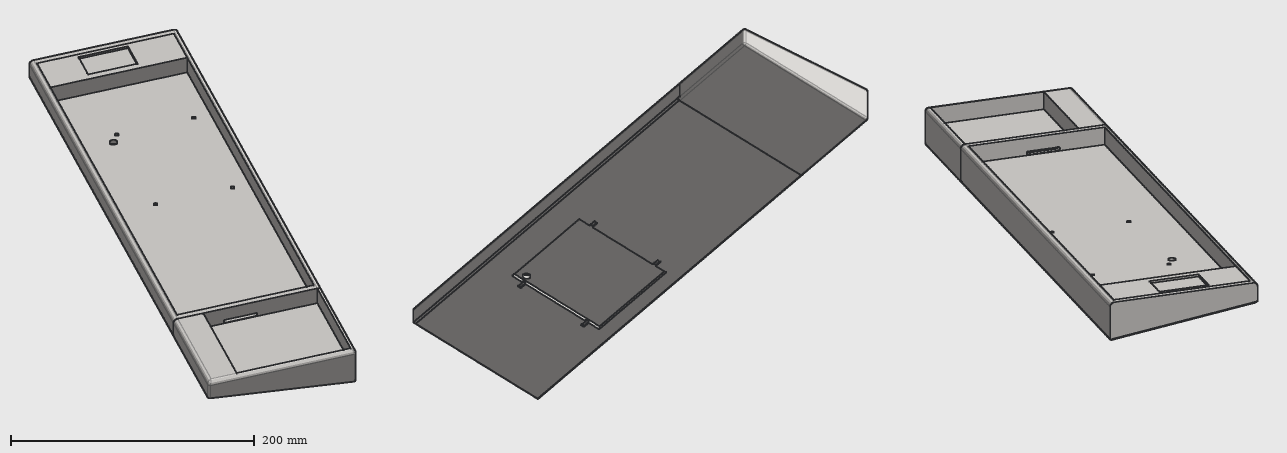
import cadquery as cq
import math

total_length = 447
depth = 129
overall_height = 34.03
bottom_chamfer = 1.5
slope_angle = 7
slope = math.tan(math.radians(slope_angle))
back_height = overall_height + bottom_chamfer * math.sin(math.radians(slope_angle))
front_height = back_height - depth * slope
front_y = -depth / 2
back_y = depth / 2

rim_fillet = 3.75
pocket_depth = 15.5

main_length = 360
main_wall = 5
left_x = -total_length / 2
joint_x = left_x + main_length

side_length = total_length - main_length
side_wall = rim_fillet
side_shelf_width = 22.35
side_edge_fillet = 2
right_x = joint_x + side_length

lip_length = 2.5
lip_thickness = 2

insert_length = 33.5
window_length = 24.2
window_width = 43
window_depth = 2
window_center_x = -203
window_center_y = -3.1

mount_hole_diameter = 3
mount_hole_depth = 2
mount_hole_xs = (-127, -30)
mount_hole_ys = (45, -22)
cable_hole_diameter = 6.29
cable_hole_center = (-118.2, -27.8)

recess_side = 90.5
recess_depth = 3.5
recess_center = (-77.8, 6)
notch_length = 6.5
notch_width = 3
notch_depth = 1.5
notch_pitch = 65.8

slot_length = 29
slot_height = 3
slot_center_y = -6
slot_floor_gap = 0.5


def side_prism(outline, start_x, length):
    """Prism along X from an outline of (Y, Z) points."""
    return cq.Workplane("YZ", origin=(start_x, 0, 0)).polyline(outline).close().extrude(length)


def wedge(start_x, length):
    """Full-depth blank with a flat top and a sloping underside."""
    outline = [(front_y, 0), (back_y, 0), (back_y, -back_height), (front_y, -front_height)]
    return side_prism(outline, start_x, length)


def lip_slab():
    """Thin slab along the underside, below the right end of the main tray."""
    outline = [
        (front_y, lip_thickness - front_height),
        (back_y, lip_thickness - back_height),
        (back_y, -back_height),
        (front_y, -front_height),
    ]
    return side_prism(outline, joint_x - lip_length, lip_length)


def top_block(x_start, x_end, y_start, y_end, block_depth):
    """Box that hangs down from the top plane."""
    box = cq.Workplane("XY").box(x_end - x_start, y_end - y_start, block_depth, centered=False)
    return box.translate((x_start, y_start, -block_depth))


def underside_recess():
    """Recess and notch volumes, square to the sloping underside."""
    angle = math.radians(slope_angle)
    underside = cq.Plane(
        origin=(0, 0, -(front_height + back_height) / 2),
        xDir=(1, 0, 0),
        normal=(0, math.sin(angle), math.cos(angle)),
    )
    center = cq.Workplane(underside).center(*recess_center)
    recess = center.rect(recess_side, recess_side).extrude(recess_depth)
    notches = (
        center.pushPoints([(0, -notch_pitch / 2), (0, notch_pitch / 2)])
        .rect(recess_side + 2 * notch_length, notch_width)
        .extrude(notch_depth)
    )
    return recess.union(notches)


def floor_holes():
    """Blind mounting holes and the through hole for the cable."""
    centers = [(x, y) for x in mount_hole_xs for y in mount_hole_ys]
    mounts = (
        cq.Workplane("XY", origin=(0, 0, -pocket_depth))
        .pushPoints(centers)
        .circle(mount_hole_diameter / 2)
        .extrude(-mount_hole_depth)
    )
    cable = cq.Workplane("XY").center(*cable_hole_center).circle(cable_hole_diameter / 2)
    return mounts.union(cable.extrude(-back_height))


def connector_slot():
    """Round-ended slot through the right wall of the main tray, just above its floor."""
    center_z = -pocket_depth + slot_floor_gap + slot_height / 2
    plane = cq.Workplane("YZ", origin=(joint_x - main_wall, slot_center_y, center_z))
    return plane.slot2D(slot_length, slot_height).extrude(main_wall)


def make_main_tray():
    tray = wedge(left_x, main_length)
    tray = tray.faces(">Z").edges("|X").fillet(rim_fillet)
    tray = tray.faces("<Z").edges("<X or <Y or >Y").chamfer(bottom_chamfer)
    tray = tray.cut(
        top_block(
            left_x + main_wall,
            joint_x - main_wall,
            front_y + main_wall,
            back_y - main_wall,
            pocket_depth,
        )
    )
    tray = tray.cut(floor_holes())
    tray = tray.cut(connector_slot())
    tray = tray.cut(underside_recess())
    return tray.cut(lip_slab())


def make_side_tray():
    tray = wedge(joint_x, side_length).union(lip_slab())
    tray = tray.faces(">Z").edges("not <X").fillet(rim_fillet)
    tray = tray.faces(">X").edges("|Z").fillet(side_edge_fillet)
    tray = tray.faces("<Z").edges("<Y or >X").fillet(side_edge_fillet)
    return tray.cut(
        top_block(
            joint_x,
            right_x - side_wall,
            front_y + side_wall + side_shelf_width,
            back_y - side_wall,
            pocket_depth,
        )
    )


def make_display_insert():
    insert_x = left_x + main_wall
    insert = top_block(
        insert_x,
        insert_x + insert_length,
        front_y + main_wall,
        back_y - main_wall,
        pocket_depth,
    )
    window = top_block(
        window_center_x - window_length / 2,
        window_center_x + window_length / 2,
        window_center_y - window_width / 2,
        window_center_y + window_width / 2,
        window_depth,
    )
    return insert.cut(window)


main_tray = make_main_tray()
side_tray = make_side_tray()
display_insert = make_display_insert()

bodies = [main_tray, side_tray, display_insert]
result = cq.Compound.makeCompound([body.solids().val() for body in bodies])